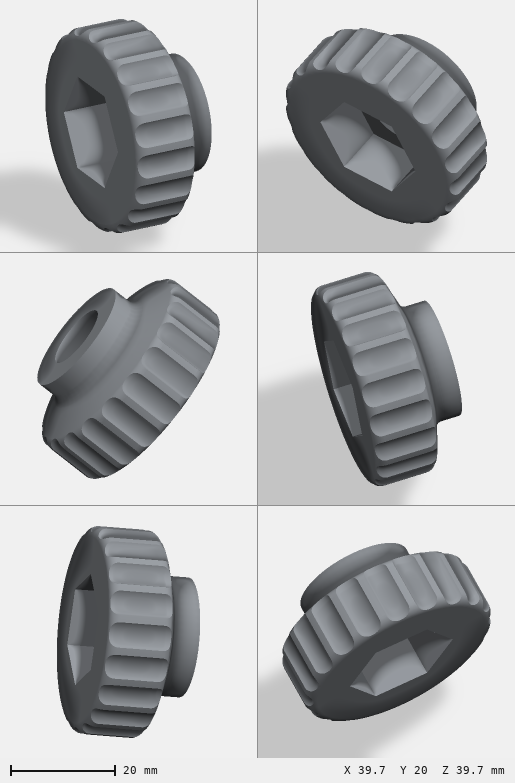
import cadquery as cq
import math

rim_radius = 20.0
rim_rounding = 2.0
rear_rounding_start = 10.6
total_depth = 20.0
neck_diameter = 23.0
neck_fillet = 2.0
cone_angle = math.radians(19)
bore_diameter = 12.5
hex_across_flats = 19.0
hex_depth = 10.0
grip_count = 20
grip_radius = 3.1
grip_floor_radius = 18.7

neck_radius = neck_diameter / 2
face_radius = rim_radius - rim_rounding
hex_across_corners = hex_across_flats / math.cos(math.radians(30))
grip_center_radius = grip_floor_radius + grip_radius


def front_plane():
    """Sketch plane on the front face, with its normal pointing into the knob (+Y)."""
    return cq.Workplane("XZ").transformed(rotate=(180, 0, 0))


def arc_point(center, radius, angle):
    """Point (radial position, depth) on a circle of the profile."""
    return (center[0] + radius * math.cos(angle), center[1] + radius * math.sin(angle))


def make_body():
    """Revolved knob: rounded rim, cone tangent to the rim rounding, fillet and neck."""
    front_center = (face_radius, rim_rounding)
    rear_center = (face_radius, rear_rounding_start)
    cone_normal = math.pi / 2 - cone_angle
    cone_start = arc_point(rear_center, rim_rounding, cone_normal)

    fillet_center_radius = neck_radius + neck_fillet
    cone_rise = (cone_start[0] - fillet_center_radius) * math.tan(cone_angle)
    fillet_center = (
        fillet_center_radius,
        cone_start[1] + cone_rise + neck_fillet / math.cos(cone_angle),
    )
    fillet_start_angle = cone_normal + math.pi
    fillet_middle_angle = (fillet_start_angle + math.pi) / 2

    profile = (
        cq.Workplane("XY")
        .lineTo(face_radius, 0)
        .threePointArc(
            arc_point(front_center, rim_rounding, -math.pi / 4),
            (rim_radius, rim_rounding),
        )
        .lineTo(rim_radius, rear_rounding_start)
        .threePointArc(arc_point(rear_center, rim_rounding, cone_normal / 2), cone_start)
        .lineTo(*arc_point(fillet_center, neck_fillet, fillet_start_angle))
        .threePointArc(
            arc_point(fillet_center, neck_fillet, fillet_middle_angle),
            (neck_radius, fillet_center[1]),
        )
        .lineTo(neck_radius, total_depth)
        .lineTo(0, total_depth)
        .close()
    )
    return profile.revolve(360, (0, 0, 0), (0, 1, 0))


def make_grips():
    """Round flutes spaced evenly about the rim."""
    return (
        front_plane()
        .polarArray(grip_center_radius, 0, 360, grip_count)
        .circle(grip_radius)
        .extrude(total_depth)
    )


hex_socket = front_plane().polygon(6, hex_across_corners).extrude(hex_depth)
bore = front_plane().circle(bore_diameter / 2).extrude(total_depth)

result = make_body().cut(make_grips()).cut(hex_socket).cut(bore)